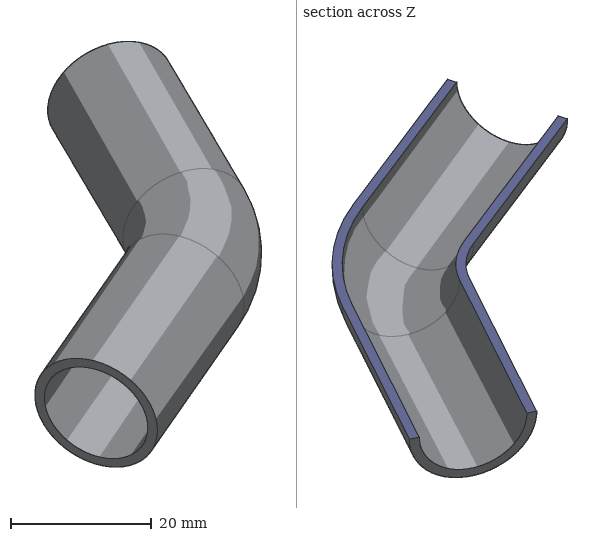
import cadquery as cq
import math

outer_diameter = 19.1
inner_diameter = 16.1
leg_length = 30.0
bend_radius = outer_diameter
bend_angle = 45.0

turn = math.radians(bend_angle)
bend_start = (0, leg_length)
bend_center = (-bend_radius, leg_length)


def point_on_bend(angle):
    """Centreline point reached after turning through the given angle in radians."""
    return (
        bend_center[0] + bend_radius * math.cos(angle),
        bend_center[1] + bend_radius * math.sin(angle),
    )


bend_middle = point_on_bend(turn / 2)
bend_end = point_on_bend(turn)
tube_end = (
    bend_end[0] - leg_length * math.sin(turn),
    bend_end[1] + leg_length * math.cos(turn),
)

centerline = (
    cq.Workplane("XY")
    .moveTo(0, 0)
    .lineTo(*bend_start)
    .threePointArc(bend_middle, bend_end)
    .lineTo(*tube_end)
)

result = (
    cq.Workplane("XZ")
    .circle(outer_diameter / 2)
    .circle(inner_diameter / 2)
    .sweep(centerline)
)